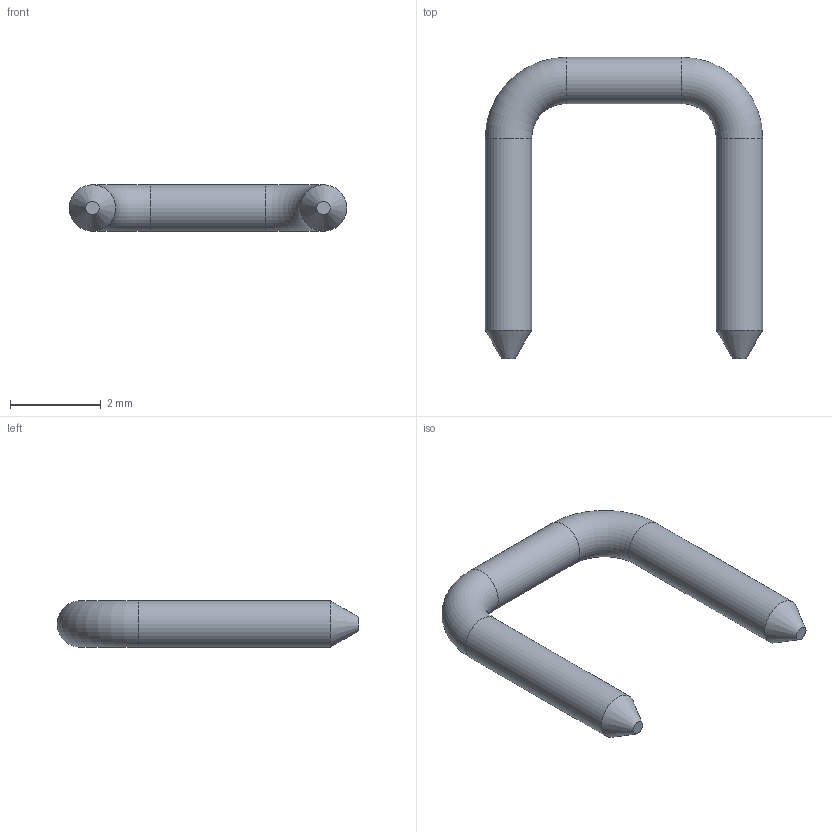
import cadquery as cq
import math

wire_diameter = 1.02
leg_pitch = 5.08
overall_length = 6.63
bend_radius = 1.27
tip_diameter = 0.3
tip_half_angle = 30

wire_radius = wire_diameter / 2
tip_radius = tip_diameter / 2
tip_length = (wire_radius - tip_radius) / math.tan(math.radians(tip_half_angle))
leg_x = leg_pitch / 2
bridge_y = overall_length - wire_radius
bend_start_y = bridge_y - bend_radius
bridge_end_x = leg_x - bend_radius
bend_mid_offset = bend_radius * math.sin(math.radians(45))


def make_wire():
    """Round wire swept along the U-shaped axis, without the pointed ends."""
    bend_mid_x = bridge_end_x + bend_mid_offset
    bend_mid_y = bend_start_y + bend_mid_offset
    axis = (
        cq.Workplane("XY")
        .moveTo(-leg_x, tip_length)
        .lineTo(-leg_x, bend_start_y)
        .threePointArc((-bend_mid_x, bend_mid_y), (-bridge_end_x, bridge_y))
        .lineTo(bridge_end_x, bridge_y)
        .threePointArc((bend_mid_x, bend_mid_y), (leg_x, bend_start_y))
        .lineTo(leg_x, tip_length)
    )
    section = cq.Workplane("XZ", origin=(-leg_x, tip_length, 0)).circle(wire_radius)
    return section.sweep(axis)


def make_tip(x):
    """Blunt cone that points toward -Y at the end of the leg at x."""
    cone = cq.Solid.makeCone(
        wire_radius,
        tip_radius,
        tip_length,
        pnt=cq.Vector(x, tip_length, 0),
        dir=cq.Vector(0, -1, 0),
    )
    return cq.Workplane("XY").add(cone)


result = make_wire()
for tip_x in (-leg_x, leg_x):
    result = result.union(make_tip(tip_x))